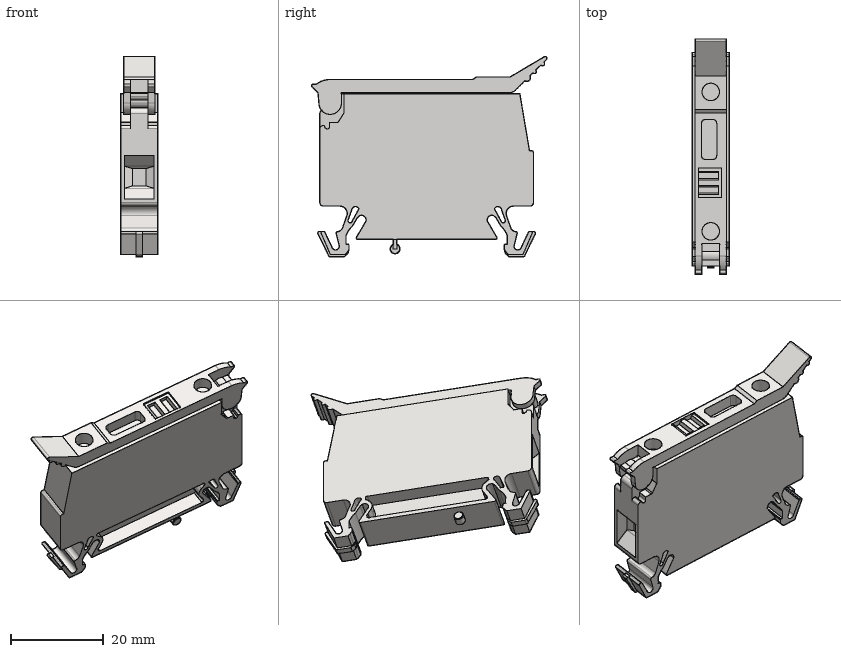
import cadquery as cq
import math


HOUSING_WIDTH = 8.0
HALF_WIDTH = HOUSING_WIDTH / 2
HALF_LENGTH = 23.0
BODY_BOTTOM = 10.9
BODY_TOP = 35.1
BODY_CORNER = 0.8
SHELF_Z = 22.85
SHELF_CORNER = 0.45
SLOPE_FOOT_Y = 22.15
SLOPE_TOP_Y = 20.05

BAR_BOTTOM = 3.75
RECESS_DEPTH = 3.2
RECESS_BOTTOM = 4.75
RECESS_SHIFT_Y = 0.1
FOOT_RIB_WIDTH = 1.3
CRADLE_LIP_Z = 30.8
NOTCH_LIP_Z = 27.45
CLEARANCE = 0.5

PIVOT_Y = -20.8
PIVOT_Z = 33.1
PIVOT = (PIVOT_Y, PIVOT_Z)
HINGE_PIN_RADIUS = 0.9
LUG_RADIUS = 2.45
LUG_GAP = 3.85

ENTRY_Z = 17.15
ENTRY_SECTIONS = [
    (0.0, 3.15, 4.65),
    (2.8, 3.15, 2.4),
    (3.4, 1.45, 1.9),
]

TEST_PIN_Y = -6.8
TEST_PIN_Z = 1.7
TEST_PIN_RADIUS = 1.05
TEST_PIN_CHAMFER = 0.15
TEST_PIN_START = -3.65
TEST_PIN_LENGTH = 1.95
STALK_RADIUS = 0.4
STALK_X = TEST_PIN_START + TEST_PIN_LENGTH

LEVER_WIDTH = 6.7
LEVER_BOTTOM = 35.3
LEVER_TOP = 38.2
GRIP_PAD_TOP = 38.7
TIP = (25.5, 42.7)
TIP_RADIUS = 0.4
NUB_Y = -24.4
NUB_Z = 36.85
NUB_RADIUS = 0.35
LUG_FRONT_Y = -23.4
GAP_BACK_Y = -18.15
DOME_HEIGHT = 0.2
CROSS_BAR_BOTTOM = 33.8

GRIP_RIDGES = [(24.95, 41.55, 0.45), (23.15, 39.9, 0.45), (21.55, 38.55, 0.8)]

SCREW_HOLE_RADIUS = 1.9
SCREW_HOLE_YS = [14.5, -15.5]

WINDOW_X = -0.35
WINDOW_Y = 4.25
WINDOW_WIDTH = 3.3
WINDOW_LENGTH = 8.6
WINDOW_CORNER = 0.85

PANEL_LEFT = -2.7
PANEL_WIDTH = 5.0
PANEL_Y = -5.05
PANEL_LENGTH = 6.35
PANEL_DEPTH = 0.4
POCKET_WIDTH = 4.35
POCKET_LENGTH = 1.9
POCKET_FLOOR_LENGTH = 1.25
POCKET_DEPTH = 0.8
POCKET_PITCH = 3.1


def side_sketch(start_x):
    """Work plane whose axes are Y and Z, at the given X; extruding goes toward +X."""
    return cq.Workplane("YZ", origin=(start_x, 0, 0))


def on_circle(center, radius, degrees):
    """Point (Y, Z) on a circle, at an angle from the +Y direction toward +Z."""
    angle = math.radians(degrees)
    return (center[0] + radius * math.cos(angle), center[1] + radius * math.sin(angle))


def both_ends(shape):
    """The shape together with its mirror image at the other end of the block."""
    return shape.union(shape.mirror("XZ"))




def housing_body():
    body = (
        side_sketch(-HALF_WIDTH)
        .moveTo(-HALF_LENGTH, BODY_BOTTOM)
        .lineTo(HALF_LENGTH, BODY_BOTTOM)
        .lineTo(HALF_LENGTH, SHELF_Z)
        .lineTo(SLOPE_FOOT_Y, SHELF_Z)
        .lineTo(SLOPE_TOP_Y, BODY_TOP)
        .lineTo(-HALF_LENGTH, BODY_TOP)
        .close()
        .extrude(HOUSING_WIDTH)
    )
    body = body.edges("|X").edges("<Z").fillet(BODY_CORNER)
    return body.edges("|X").edges(">Y").edges(">Z").fillet(SHELF_CORNER)


def rail_bar():
    """Bar under the body, as thick as the housing, with a foot side slanted at each end."""
    half = (
        side_sketch(-HALF_WIDTH)
        .moveTo(0, BODY_BOTTOM)
        .lineTo(0, BAR_BOTTOM)
        .lineTo(14.85, BAR_BOTTOM)
        .threePointArc((15.1, 3.9), (15.1, 4.25))
        .lineTo(13.05, 7.7)
        .threePointArc((13.95, 8.9), (14.9, 8.4))
        .lineTo(14.9, BODY_BOTTOM)
        .close()
        .extrude(HOUSING_WIDTH)
    )
    return both_ends(half)


def rail_feet():
    """Springy hooked feet, with a rib around the outside of each hook."""
    foot = (
        side_sketch(-HALF_WIDTH)
        .moveTo(14.45, BODY_BOTTOM)
        .lineTo(18.6, BODY_BOTTOM)
        .threePointArc((17.5, 10.35), (17.2, 8.9))
        .lineTo(18.15, 6.2)
        .threePointArc((18.5, 5.75), (19.2, 5.4))
        .threePointArc((19.45, 5.25), (19.45, 4.9))
        .lineTo(18.9, 2.65)
        .threePointArc((19.5, 1.5), (20.35, 2.15))
        .lineTo(21.9, 5.3)
        .lineTo(22.1, 5.45)
        .lineTo(22.4, 5.45)
        .threePointArc((22.7, 5.3), (22.65, 4.95))
        .lineTo(20.7, 0.5)
        .lineTo(17.6, 0.5)
        .lineTo(17.15, 0.95)
        .lineTo(16.65, 1.6)
        .lineTo(16.65, 2.55)
        .lineTo(16.8, 2.75)
        .lineTo(17.35, 2.75)
        .lineTo(17.35, 4.6)
        .threePointArc((16.9, 5.4), (15.9, 6.7))
        .lineTo(14.9, 8.4)
        .lineTo(14.45, 8.8)
        .close()
        .extrude(HOUSING_WIDTH)
    )
    rib = (
        side_sketch(-FOOT_RIB_WIDTH / 2)
        .moveTo(22.55, 5.45)
        .lineTo(23.15, 5.45)
        .threePointArc((23.4, 5.2), (23.3, 4.75))
        .lineTo(21.2, 0.4)
        .threePointArc((21.05, 0.1), (20.8, 0.0))
        .lineTo(17.75, 0.0)
        .lineTo(16.9, 0.7)
        .lineTo(16.7, 1.4)
        .lineTo(18.0, 1.5)
        .lineTo(20.05, 1.0)
        .close()
        .extrude(FOOT_RIB_WIDTH)
    )
    return both_ends(foot.union(rib))


def leg_slits():
    """Slit through each leg above its foot."""
    slit = (
        side_sketch(-HALF_WIDTH)
        .moveTo(16.1, 10.05)
        .lineTo(16.85, 7.95)
        .threePointArc((16.55, 7.35), (16.0, 7.75))
        .lineTo(14.6, 10.35)
        .threePointArc((15.4, 10.8), (16.1, 10.05))
        .close()
        .extrude(HOUSING_WIDTH)
    )
    return both_ends(slit)


def bar_recess():
    """Blind recess in the -X side of the bar."""
    half = (
        side_sketch(-HALF_WIDTH)
        .moveTo(0, BODY_BOTTOM)
        .lineTo(13.2, BODY_BOTTOM)
        .threePointArc((13.65, 10.55), (13.5, 10.05))
        .lineTo(12.8, 9.5)
        .threePointArc((12.15, 8.3), (12.3, 7.25))
        .lineTo(13.05, 5.9)
        .threePointArc((13.3, 5.1), (12.9, RECESS_BOTTOM))
        .lineTo(0, RECESS_BOTTOM)
        .close()
        .extrude(RECESS_DEPTH)
    )
    return both_ends(half).translate((0, RECESS_SHIFT_Y, 0))


def lug_notches():
    """Room for the lever lugs on both sides of the middle web."""
    outline = (
        side_sketch(LUG_GAP / 2)
        .moveTo(-17.8, BODY_TOP)
        .lineTo(-17.8, 31.0)
        .lineTo(-19.0, 29.05)
        .lineTo(-19.35, 28.9)
        .lineTo(-20.95, 28.9)
        .lineTo(-20.95, 28.0)
        .threePointArc((-21.1, 27.6), (-21.45, 27.45))
        .lineTo(-21.85, 27.75)
        .lineTo(-22.05, 28.2)
        .lineTo(-22.45, 28.2)
        .threePointArc((-22.85, 27.95), (-HALF_LENGTH, NOTCH_LIP_Z))
        .lineTo(-HALF_LENGTH - CLEARANCE, NOTCH_LIP_Z)
        .lineTo(-HALF_LENGTH - CLEARANCE, BODY_TOP)
        .close()
    )
    notch = outline.extrude(HALF_WIDTH - LUG_GAP / 2)
    return notch.union(notch.mirror("YZ"))


def hinge_cradle():
    """Cut in the middle web: a round seat under the hinge pin, open upward and to the front."""
    pin_back = PIVOT_Y + HINGE_PIN_RADIUS
    return (
        side_sketch(-LUG_GAP / 2)
        .moveTo(pin_back, BODY_TOP)
        .lineTo(pin_back, PIVOT_Z)
        .threePointArc(on_circle(PIVOT, HINGE_PIN_RADIUS, -45), on_circle(PIVOT, HINGE_PIN_RADIUS, -90))
        .lineTo(-22.05, 31.85)
        .threePointArc((-22.7, 31.5), (-HALF_LENGTH, CRADLE_LIP_Z))
        .lineTo(-HALF_LENGTH - CLEARANCE, CRADLE_LIP_Z)
        .lineTo(-HALF_LENGTH - CLEARANCE, BODY_TOP)
        .close()
        .extrude(LUG_GAP)
    )


def wire_entry():
    """Funnel in the front face: top and bottom converge first, then the sides too."""
    funnel = cq.Workplane("XY")
    for outer, inner in zip(ENTRY_SECTIONS, ENTRY_SECTIONS[1:]):
        depth, half_width, half_height = outer
        next_depth, next_half_width, next_half_height = inner
        stage = (
            cq.Workplane("XZ", origin=(0, depth - HALF_LENGTH, ENTRY_Z))
            .rect(2 * half_width, 2 * half_height)
            .workplane(offset=depth - next_depth)
            .rect(2 * next_half_width, 2 * next_half_height)
            .loft(ruled=True)
        )
        funnel = funnel.union(stage)
    return funnel


def test_pin():
    """Short pin along X that hangs on a stalk under the bar."""
    pin = (
        side_sketch(TEST_PIN_START)
        .center(TEST_PIN_Y, TEST_PIN_Z)
        .circle(TEST_PIN_RADIUS)
        .extrude(TEST_PIN_LENGTH)
        .edges("<X")
        .chamfer(TEST_PIN_CHAMFER)
    )
    stalk = (
        cq.Workplane("XY", origin=(STALK_X, TEST_PIN_Y, TEST_PIN_Z))
        .circle(STALK_RADIUS)
        .extrude(BAR_BOTTOM - TEST_PIN_Z)
    )
    return pin.union(stalk)


def make_housing():
    housing = housing_body().union(rail_bar()).union(rail_feet()).cut(leg_slits())
    housing = housing.cut(bar_recess()).cut(lug_notches()).cut(hinge_cradle()).cut(wire_entry())
    return housing.union(test_pin())




def lever_plate():
    nub = (NUB_Y, NUB_Z)
    plate = (
        side_sketch(-LEVER_WIDTH / 2)
        .moveTo(18.2, LEVER_BOTTOM)
        .lineTo(18.8, 35.55)
        .lineTo(*on_circle(TIP, TIP_RADIUS, -45))
        .threePointArc(on_circle(TIP, TIP_RADIUS, 45), on_circle(TIP, TIP_RADIUS, 118))
        .lineTo(17.95, GRIP_PAD_TOP)
        .lineTo(10.7, GRIP_PAD_TOP)
        .lineTo(9.95, LEVER_TOP)
        .lineTo(PIVOT_Y, LEVER_TOP)
        .threePointArc((-22.4, 37.9), (-23.8, 37.15))
        .lineTo(*on_circle(nub, NUB_RADIUS, 90))
        .threePointArc(on_circle(nub, NUB_RADIUS, 180), on_circle(nub, NUB_RADIUS, 225))
        .lineTo(LUG_FRONT_Y, LEVER_BOTTOM)
        .lineTo(*on_circle(PIVOT, LUG_RADIUS, 180))
        .threePointArc(on_circle(PIVOT, LUG_RADIUS, 270), on_circle(PIVOT, LUG_RADIUS, 360))
        .lineTo(PIVOT_Y + LUG_RADIUS, LEVER_BOTTOM)
        .close()
        .extrude(LEVER_WIDTH)
    )
    for y, z, radius in GRIP_RIDGES:
        ridge = side_sketch(-LEVER_WIDTH / 2).center(y, z).circle(radius).extrude(LEVER_WIDTH)
        plate = plate.union(ridge)
    return plate


def lug_gap():
    """Opening that splits the front end of the lever into two lugs."""
    nose_y = NUB_Y - NUB_RADIUS
    lug_bottom = PIVOT_Z - LUG_RADIUS
    return cq.Workplane("XY", origin=(0, nose_y, lug_bottom)).box(
        LUG_GAP, GAP_BACK_Y - nose_y, LEVER_TOP - lug_bottom, centered=(True, False, False)
    )


def hinge_pin():
    return (
        side_sketch(-LUG_GAP / 2)
        .center(PIVOT_Y, PIVOT_Z)
        .circle(HINGE_PIN_RADIUS)
        .extrude(LUG_GAP)
    )


def cross_bar():
    """Bar between the lugs: slightly domed above the hinge pin, rounded under its front edge."""
    pin_back = PIVOT_Y + HINGE_PIN_RADIUS
    pin_front = PIVOT_Y - HINGE_PIN_RADIUS
    return (
        side_sketch(-LUG_GAP / 2)
        .moveTo(pin_back, PIVOT_Z)
        .lineTo(pin_back, BODY_TOP)
        .threePointArc((PIVOT_Y, BODY_TOP + DOME_HEIGHT), (pin_front, BODY_TOP))
        .lineTo(-HALF_LENGTH, BODY_TOP)
        .lineTo(-HALF_LENGTH, 34.45)
        .threePointArc((-22.75, 33.95), (-22.3, CROSS_BAR_BOTTOM))
        .lineTo(pin_front, CROSS_BAR_BOTTOM)
        .lineTo(pin_front, PIVOT_Z)
        .close()
        .extrude(LUG_GAP)
    )


def marker_panel():
    """Shallow panel in the top face with two deeper pockets."""
    panel = cq.Workplane("XY", origin=(PANEL_LEFT, PANEL_Y, LEVER_TOP - PANEL_DEPTH)).box(
        PANEL_WIDTH, PANEL_LENGTH, PANEL_DEPTH, centered=(False, True, False)
    )
    for side in (-1, 1):
        pocket = (
            side_sketch(PANEL_LEFT)
            .center(PANEL_Y + side * POCKET_PITCH / 2, LEVER_TOP - PANEL_DEPTH)
            .moveTo(-POCKET_LENGTH / 2, 0)
            .lineTo(POCKET_LENGTH / 2, 0)
            .lineTo(POCKET_FLOOR_LENGTH / 2, -POCKET_DEPTH)
            .lineTo(-POCKET_FLOOR_LENGTH / 2, -POCKET_DEPTH)
            .close()
            .extrude(POCKET_WIDTH)
        )
        panel = panel.union(pocket)
    return panel


def make_lever():
    lever = lever_plate().cut(lug_gap()).union(hinge_pin()).union(cross_bar())
    holes = (
        cq.Workplane("XY", origin=(0, 0, LEVER_BOTTOM))
        .pushPoints([(0, y) for y in SCREW_HOLE_YS])
        .circle(SCREW_HOLE_RADIUS)
        .extrude(GRIP_PAD_TOP - LEVER_BOTTOM)
    )
    window = (
        cq.Workplane("XY", origin=(WINDOW_X, WINDOW_Y, LEVER_BOTTOM))
        .rect(WINDOW_WIDTH, WINDOW_LENGTH)
        .extrude(LEVER_TOP - LEVER_BOTTOM)
        .edges("|Z")
        .fillet(WINDOW_CORNER)
    )
    return lever.cut(holes).cut(window).cut(marker_panel())


housing = make_housing()
lever = make_lever()

result = cq.Compound.makeCompound([housing.val(), lever.val()])